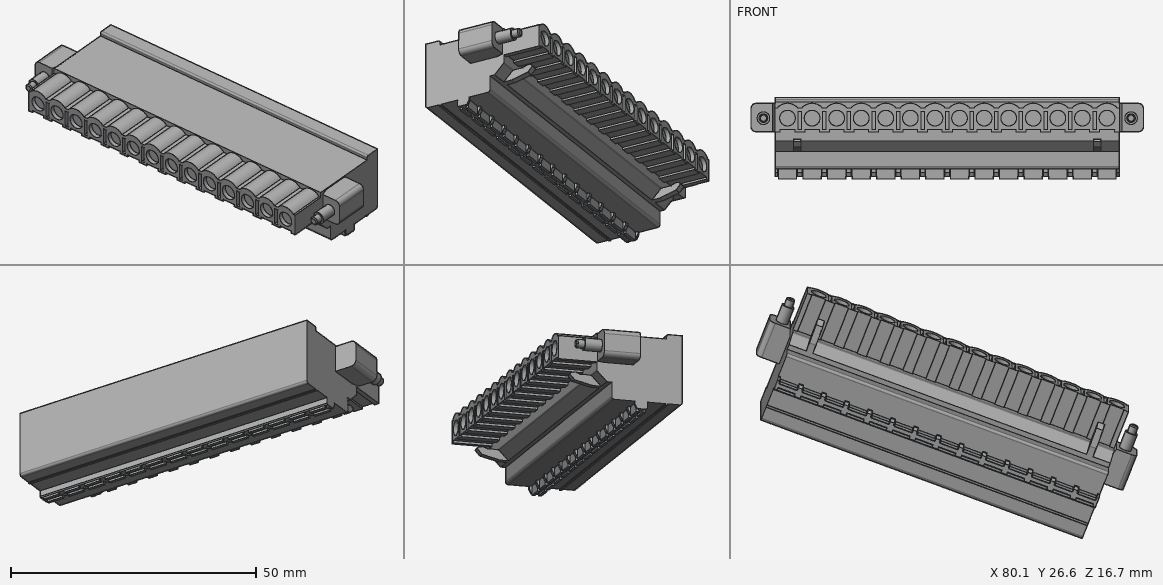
import cadquery as cq


total_length = 80.1
total_depth = 26.6
total_height = 16.7

pole_count = 14
housing_length = 70.2
pitch = housing_length / pole_count
housing_top = 15.7
housing_bottom = 2.0
housing_front = 18.35
lower_front = 15.1
overhang_z = 5.6
slope_start = 16.2
slope_top_z = overhang_z + housing_front - slope_start
lip_depth = 3.4
lip_fillet = 0.4
bottom_fillet = 0.6
slope_fillet = 0.25

ridge_back = 3.1
ridge_width = 0.5
ridge_height = 0.25

rail_back = 7.45
rail_front = 10.2
rail_tip_front = 9.7
rail_bottom = 0.5
rail_straight_z = 1.4
rail_chamfer = 0.25
recess_length = 4.1
tooth_length = 3.8
tooth_depth = 0.6

entry_top = 15.45
entry_bottom = 9.6
valley_z = 14.5
valley_width = 0.9
arch_half_width = (pitch - valley_width) / 2
wire_hole_radius = 1.6
wire_hole_z = 12.4
wire_hole_depth = 1.0
slot_width = 0.7
slot_top = 13.8
notch_width = 3.0
notch_height = 0.5

flange_back = 10.6
flange_fillet = 1.1
relief_width = 0.6
relief_length = 1.6
screw_x = 37.5
screw_radius = 1.3
screw_end = 21.95
tip_radius = 0.9
tip_end = 23.6
tip_chamfer = 0.25

latch_x = 30.6
latch_width = 1.45
latch_flat_end = 20.7
latch_peak = (21.8, 8.2)
latch_nose = (22.6, 8.0)
latch_tip = (22.9, 7.6)
latch_chin = (21.9, 6.5)
latch_heel = 18.0

entry_length = total_depth - housing_front
pole_positions = [(i - (pole_count - 1) / 2) * pitch for i in range(pole_count)]
gap_positions = [x + pitch / 2 for x in pole_positions[:-1]]


def box(x_center, x_size, y_back, y_front, z_low, z_high):
    """Box given by its X centre and length, its depths behind the back face and its heights."""
    size = (x_size, y_front - y_back, z_high - z_low)
    corner = (x_center - x_size / 2, -y_front, z_low)
    return cq.Workplane("XY").box(*size, centered=False).translate(corner)


def side_prism(points, x_center, x_size):
    """Extrude an outline of (depth, height) points along X."""
    outline = [(-depth, height) for depth, height in points]
    prism = cq.Workplane("YZ").polyline(outline).close().extrude(x_size / 2, both=True)
    return prism.translate((x_center, 0, 0))


def cylinder(x, z, radius, y_back, y_front):
    """Cylinder along Y between two depths."""
    plane = cq.Workplane("XZ", origin=(x, -y_back, z))
    return plane.circle(radius).extrude(y_front - y_back)


def edge_at(body, depth, height):
    """Long X edge of the body that passes through a given depth and height."""
    return body.edges("|X").edges(cq.selectors.NearestToPointSelector((0, -depth, height)))


def make_housing():
    profile = [
        (0, housing_bottom),
        (0, total_height),
        (lip_depth, total_height),
        (lip_depth, housing_top),
        (housing_front, housing_top),
        (housing_front, slope_top_z),
        (slope_start, overhang_z),
        (lower_front, overhang_z),
        (lower_front, housing_bottom),
    ]
    body = side_prism(profile, 0, housing_length)
    body = edge_at(body, lip_depth, total_height).fillet(lip_fillet)
    body = edge_at(body, housing_front, slope_top_z).fillet(slope_fillet)
    body = edge_at(body, 0, housing_bottom).fillet(bottom_fillet)
    body = edge_at(body, lower_front, housing_bottom).fillet(bottom_fillet)
    ridge_front = ridge_back + ridge_width
    ridge = box(0, housing_length, ridge_back, ridge_front, housing_bottom - ridge_height, housing_top)
    return body.union(ridge)


def make_rail():
    """Rail with a tapered front; each pole has a recess with a tooth in it and a tooth behind."""
    rail = side_prism(
        [
            (rail_back, overhang_z),
            (rail_back, rail_bottom + rail_chamfer),
            (rail_back + rail_chamfer, rail_bottom),
            (rail_tip_front, rail_bottom),
            (rail_front, rail_straight_z),
            (rail_front, overhang_z),
        ],
        0,
        housing_length,
    )
    back_tooth = rail_back + rail_chamfer
    front_tooth = rail_tip_front - tooth_depth
    for x in pole_positions:
        rail = rail.cut(box(x, recess_length, front_tooth, rail_front, 0, housing_bottom))
        for tooth_back in (back_tooth, front_tooth):
            tooth = box(x, tooth_length, tooth_back, tooth_back + tooth_depth, 0, overhang_z)
            rail = rail.union(tooth)
    return rail


def make_wire_entries():
    """Row of arched blocks joined by flat valleys, open at the wire side."""
    outline = cq.Workplane("XZ", origin=(0, -housing_front, 0))
    outline = outline.moveTo(-housing_length / 2, entry_bottom).lineTo(-housing_length / 2, valley_z)
    for x in pole_positions:
        outline = outline.lineTo(x - arch_half_width, valley_z)
        outline = outline.threePointArc((x, entry_top), (x + arch_half_width, valley_z))
    outline = outline.lineTo(housing_length / 2, valley_z).lineTo(housing_length / 2, entry_bottom)
    entries = outline.close().extrude(entry_length)

    notch_top = entry_bottom + notch_height
    for x in pole_positions:
        hole_floor = total_depth - wire_hole_depth
        entries = entries.cut(cylinder(x, wire_hole_z, wire_hole_radius, hole_floor, total_depth))
        entries = entries.cut(box(x, notch_width, housing_front, total_depth, entry_bottom, notch_top))
    for x in gap_positions:
        entries = entries.cut(box(x, slot_width, housing_front, total_depth, notch_top, slot_top))
    return entries


def make_screw_flange():
    """Flange and screw on the -X end."""
    inner_x = -housing_length / 2
    width = (total_length - housing_length) / 2
    flange = box(inner_x - width / 2, width, flange_back, housing_front, entry_bottom, entry_top)
    flange = flange.edges("<X and |Y").fillet(flange_fillet)
    relief = (
        cq.Workplane("XY")
        .polyline(
            [
                (inner_x, -housing_front),
                (inner_x - relief_width, -housing_front),
                (inner_x, -housing_front + relief_length),
            ]
        )
        .close()
        .extrude(total_height)
    )
    screw = cylinder(-screw_x, wire_hole_z, screw_radius, housing_front, screw_end)
    tip = cylinder(-screw_x, wire_hole_z, tip_radius, screw_end, tip_end)
    tip = tip.faces("<Y").chamfer(tip_chamfer)
    return flange.cut(relief).union(screw).union(tip)


def make_latch(x):
    """Hooked finger that grows out of the sloped face."""
    profile = [
        (slope_start, overhang_z),
        (housing_front - slope_fillet, slope_top_z - slope_fillet),
        (housing_front - slope_fillet, slope_top_z),
        (latch_flat_end, slope_top_z),
        latch_peak,
        latch_nose,
        latch_tip,
        latch_chin,
        (latch_heel, overhang_z),
    ]
    return side_prism(profile, x, latch_width)


flange = make_screw_flange()
result = make_housing().union(make_rail()).union(make_wire_entries())
result = result.union(flange).union(flange.mirror("YZ"))
for side in (-1, 1):
    result = result.union(make_latch(side * latch_x))